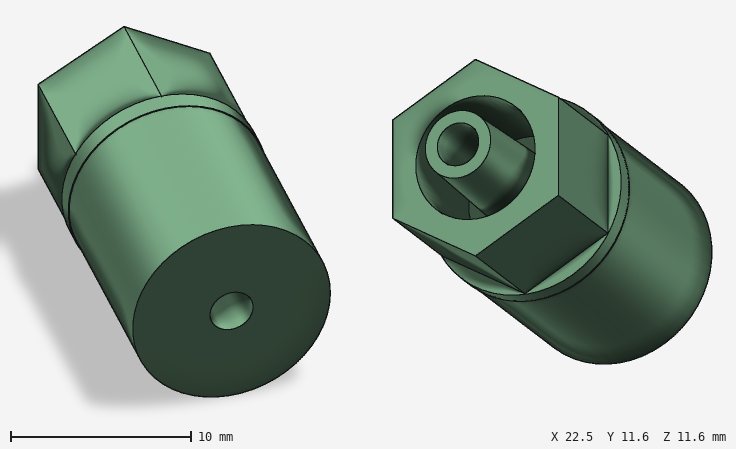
import cadquery as cq
import math

total_length = 22.5
bore_diameter = 2.5

nozzle_length = 10.0
nozzle_tip_diameter = 3.94
nozzle_taper = 0.06
nozzle_root_diameter = nozzle_tip_diameter + nozzle_taper * nozzle_length
nozzle_overhang = 2.48
recess_diameter = 7.2

hex_across_flats = 10.0
hex_across_corners = hex_across_flats / math.cos(math.pi / 6)
flange_start = 9.5
flange_end = 10.66
flange_diameter = 11.6
barrel_diameter = 11.5


def cylinder(diameter, start, end):
    """Cylinder along X between two stations."""
    return cq.Workplane("YZ", origin=(start, 0, 0)).circle(diameter / 2).extrude(end - start)


def hex_head():
    """Hexagonal prism along X with corners at the top and bottom."""
    return (
        cq.Workplane("YZ", origin=(nozzle_overhang, 0, 0))
        .transformed(rotate=(0, 0, 90))
        .polygon(6, hex_across_corners)
        .extrude(flange_start - nozzle_overhang)
    )


def nozzle():
    """Cone that widens from the tip at X = 0 to the recess floor."""
    return (
        cq.Workplane("YZ")
        .circle(nozzle_tip_diameter / 2)
        .workplane(offset=nozzle_length)
        .circle(nozzle_root_diameter / 2)
        .loft(ruled=True)
    )


body = (
    hex_head()
    .union(cylinder(flange_diameter, flange_start, flange_end))
    .union(cylinder(barrel_diameter, flange_end, total_length))
)
recess = cylinder(recess_diameter, nozzle_overhang, nozzle_length)
bore = cylinder(bore_diameter, 0, total_length)

result = body.cut(recess).union(nozzle()).cut(bore)